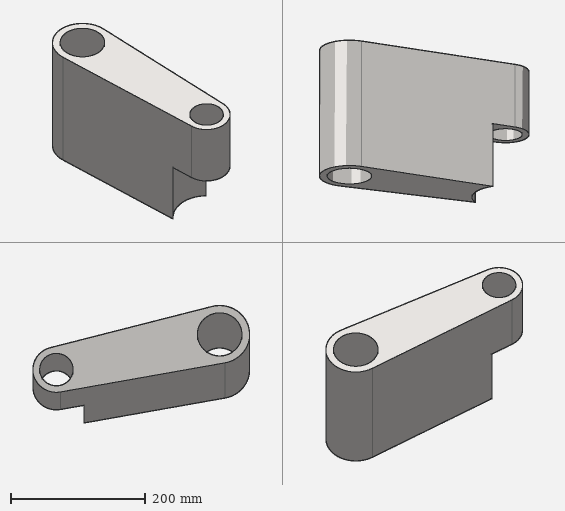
import cadquery as cq
import math

height = 200.0
step_height = height / 2
large_radius = 44.8
large_bore_radius = 33.3
small_radius = 35.2
small_bore_radius = 25.0
relief_radius = 50.0
small_x = 240.0
small_y = -69.0

axis_angle = math.atan2(small_y, small_x)
tangent_angle = math.acos((large_radius - small_radius) / math.hypot(small_x, small_y))
upper_angle = axis_angle + tangent_angle
lower_angle = axis_angle - tangent_angle


def point_on_circle(center_x, center_y, radius, angle):
    return (center_x + radius * math.cos(angle), center_y + radius * math.sin(angle))


def large_end(angle):
    return point_on_circle(0, 0, large_radius, angle)


def small_end(angle):
    return point_on_circle(small_x, small_y, small_radius, angle)


def cylinder_at_small_end(radius, length):
    return cq.Workplane("XY").center(small_x, small_y).circle(radius).extrude(length)


body = (
    cq.Workplane("XY")
    .moveTo(*large_end(upper_angle))
    .lineTo(*small_end(upper_angle))
    .threePointArc(small_end(axis_angle), small_end(lower_angle))
    .lineTo(*large_end(lower_angle))
    .threePointArc(large_end(axis_angle + math.pi), large_end(upper_angle))
    .close()
    .extrude(height)
)

large_bore = cq.Workplane("XY").circle(large_bore_radius).extrude(height)

relief = cylinder_at_small_end(relief_radius, step_height)
small_bore = cylinder_at_small_end(small_bore_radius, height)

result = body.cut(large_bore).cut(relief).cut(small_bore)